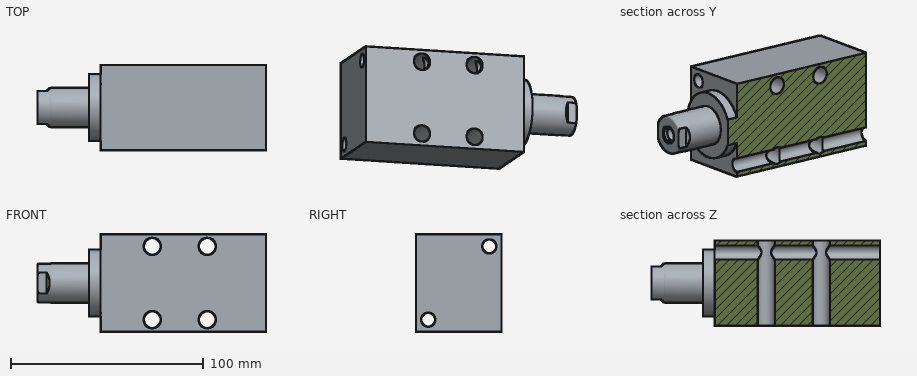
import cadquery as cq

block_width = 44.45
block_height = 50.8
overall_length = 118.87

flange_diameter = 34.925
flange_length = 6.1
rod_diameter = 20.6
rod_reach = 32.8
block_length = overall_length - rod_reach

tip_diameter = 20.3
tip_fillet_radius = 1.0
tip_length = 6.7
tip_shoulder_length = 0.7

flat_width = 17.25
flat_length = 4.85

bore_diameter = 6.8
bore_mouth_diameter = 9.2
bore_taper_diameter = 8.2
bore_taper_length = 1.5
bore_depth = 19.0

hole_edge_distance = 6.35
side_hole_diameter = 8.73
side_hole_first_x = 26.9
side_hole_pitch = 28.575
end_hole_diameter = 7.14


def make_block():
    return cq.Workplane("XY").box(
        block_length, block_width, block_height, centered=(False, True, True)
    )


def make_flange_and_rod():
    """Stepped body of revolution from the rod tip to the block face."""
    tip_x = -rod_reach
    tip_radius = tip_diameter / 2
    shoulder_x = tip_x + tip_length
    profile = (
        cq.Workplane("XY")
        .moveTo(tip_x, 0)
        .lineTo(tip_x, tip_radius - tip_fillet_radius)
        .radiusArc((tip_x + tip_fillet_radius, tip_radius), tip_fillet_radius)
        .lineTo(shoulder_x, tip_radius)
        .lineTo(shoulder_x + tip_shoulder_length, rod_diameter / 2)
        .lineTo(-flange_length, rod_diameter / 2)
        .lineTo(-flange_length, flange_diameter / 2)
        .lineTo(0, flange_diameter / 2)
        .lineTo(0, 0)
        .close()
    )
    return profile.revolve(360, (0, 0, 0), (1, 0, 0))


def make_flat_cutter(side):
    """Material beyond one wrench flat; side is +1 for +Y and -1 for -Y."""
    tip_x = -rod_reach
    flat_end_x = tip_x + flat_length
    flat_y = flat_width / 2
    ramp_rise = rod_diameter - flat_y
    return (
        cq.Workplane("XY")
        .polyline([
            (tip_x, side * flat_y),
            (flat_end_x, side * flat_y),
            (flat_end_x + ramp_rise, side * (flat_y + ramp_rise)),
            (tip_x, side * (flat_y + ramp_rise)),
        ])
        .close()
        .extrude(rod_diameter, both=True)
    )


def make_bore():
    """Blind bore opening at the rod tip: 45 degree chamfer, taper, then straight."""
    tip_x = -rod_reach
    taper_start_x = tip_x + (bore_mouth_diameter - bore_taper_diameter) / 2
    taper_end_x = taper_start_x + bore_taper_length
    profile = (
        cq.Workplane("XY")
        .moveTo(tip_x, 0)
        .lineTo(tip_x, bore_mouth_diameter / 2)
        .lineTo(taper_start_x, bore_taper_diameter / 2)
        .lineTo(taper_end_x, bore_diameter / 2)
        .lineTo(tip_x + bore_depth, bore_diameter / 2)
        .lineTo(tip_x + bore_depth, 0)
        .close()
    )
    return profile.revolve(360, (0, 0, 0), (1, 0, 0))


def make_side_holes():
    """Four holes running through the block along Y."""
    hole_z = block_height / 2 - hole_edge_distance
    centers = [
        (x, z)
        for x in (side_hole_first_x, side_hole_first_x + side_hole_pitch)
        for z in (-hole_z, hole_z)
    ]
    return (
        cq.Workplane("XZ")
        .pushPoints(centers)
        .circle(side_hole_diameter / 2)
        .extrude(block_width, both=True)
    )


def make_end_holes():
    """Two diagonally opposite holes running the full block length along X."""
    hole_y = block_width / 2 - hole_edge_distance
    hole_z = block_height / 2 - hole_edge_distance
    return (
        cq.Workplane("YZ")
        .pushPoints([(hole_y, hole_z), (-hole_y, -hole_z)])
        .circle(end_hole_diameter / 2)
        .extrude(block_length)
    )


result = make_block().union(make_flange_and_rod())
for flat_side in (-1, 1):
    result = result.cut(make_flat_cutter(flat_side))
result = result.cut(make_bore())
result = result.cut(make_side_holes())
result = result.cut(make_end_holes())